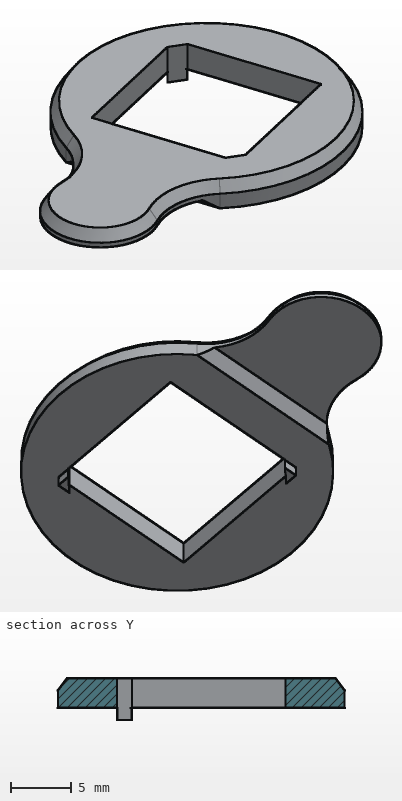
import cadquery as cq
import math

total_length = 35.98
disc_radius = 13.0
tab_radius = 5.0
neck_radius = 6.0
plate_thickness = 2.5
tab_thickness = 1.5
bevel_height = 1.05
bevel_width = 0.72
window_side = 14.0
pin_leg = 1.22
pin_drop = 1.0

tab_y = disc_radius + tab_radius - total_length

disc_reach = disc_radius + neck_radius
tab_reach = tab_radius + neck_radius
neck_y = (tab_y**2 + disc_reach**2 - tab_reach**2) / (2 * tab_y)
neck_x = math.sqrt(disc_reach**2 - neck_y**2)

shoulder_y = neck_y * disc_radius / disc_reach


def outline(offset):
    """Keyhole outline moved inward by offset."""
    disc_r = disc_radius - offset
    tab_r = tab_radius - offset
    neck_r = neck_radius + offset
    disc_x = neck_x * disc_r / disc_reach
    disc_y = neck_y * disc_r / disc_reach
    end_x = neck_x * tab_r / tab_reach
    end_y = tab_y + (neck_y - tab_y) * tab_r / tab_reach
    mid_dx = (disc_x + end_x) / 2 - neck_x
    mid_dy = (disc_y + end_y) / 2 - neck_y
    stretch = neck_r / math.hypot(mid_dx, mid_dy)
    mid_x = neck_x + mid_dx * stretch
    mid_y = neck_y + mid_dy * stretch
    return (
        cq.Workplane("XY")
        .moveTo(disc_x, disc_y)
        .threePointArc((0, disc_r), (-disc_x, disc_y))
        .threePointArc((-mid_x, mid_y), (-end_x, end_y))
        .threePointArc((0, tab_y - tab_r), (end_x, end_y))
        .threePointArc((mid_x, mid_y), (disc_x, disc_y))
        .close()
        .wires()
        .val()
    )


def plate():
    """Straight-sided slab topped by a layer that tapers to the bevelled rim."""
    rim_z = plate_thickness - bevel_height
    slab = cq.Solid.extrudeLinear(outline(0), [], cq.Vector(0, 0, rim_z))
    lower = outline(0).translate(cq.Vector(0, 0, rim_z))
    upper = outline(bevel_width).translate(cq.Vector(0, 0, plate_thickness))
    taper = cq.Solid.makeLoft([lower, upper], True)
    return cq.Workplane(slab).union(cq.Workplane(taper))


def tab_relief():
    """Space under the thin tab, ending in a 45 degree slope at the disc."""
    step = plate_thickness - tab_thickness
    profile = [
        (shoulder_y, 0),
        (shoulder_y - step, step),
        (-total_length, step),
        (-total_length, 0),
    ]
    return cq.Workplane("YZ").polyline(profile).close().extrude(disc_radius, both=True)


def corner_pin(side):
    """Triangular post filling a window corner from the plate top down to below the plate.

    Side -1 is the (-X, +Y) corner and side 1 is the (+X, -Y) corner.
    """
    wall = window_side / 2
    inner = wall - pin_leg
    profile = [
        (side * wall, -side * wall),
        (side * wall, -side * inner),
        (side * inner, -side * wall),
    ]
    base = cq.Workplane("XY").workplane(offset=-pin_drop)
    return base.polyline(profile).close().extrude(pin_drop + plate_thickness)


window = cq.Workplane("XY").rect(window_side, window_side).extrude(plate_thickness)
result = plate().cut(tab_relief()).cut(window)
for side in (-1, 1):
    result = result.union(corner_pin(side))